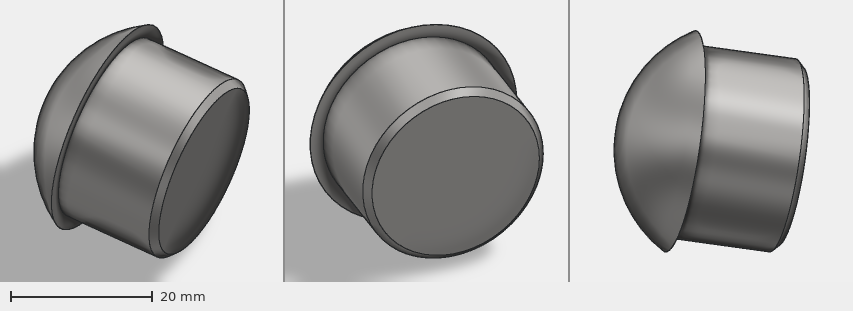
import cadquery as cq
import math

overall_length = 24.92
dome_diameter = 31.5
dome_height = 9.17
plug_diameter = 27.5
end_chamfer = 1.0

dome_radius = dome_diameter / 2
plug_radius = plug_diameter / 2

sphere_radius = (dome_radius**2 + dome_height**2) / (2 * dome_height)
sphere_center_x = sphere_radius - dome_height
x_tip = -dome_height
x_end = overall_length - dome_height

half_angle = math.asin(dome_radius / sphere_radius) / 2
arc_middle = (
    sphere_center_x - sphere_radius * math.cos(half_angle),
    sphere_radius * math.sin(half_angle),
)

result = (
    cq.Workplane("XY")
    .moveTo(x_tip, 0)
    .threePointArc(arc_middle, (0, dome_radius))
    .lineTo(0, plug_radius)
    .lineTo(x_end - end_chamfer, plug_radius)
    .lineTo(x_end, plug_radius - end_chamfer)
    .lineTo(x_end, 0)
    .close()
    .revolve(360, (0, 0, 0), (1, 0, 0))
)